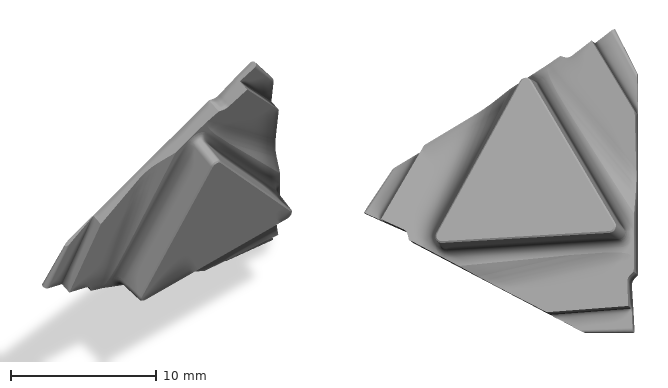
import cadquery as cq
import math


CORNER_ANGLES = (0, 120, 240)
REACH = 30.0

PLATE_HEIGHT = 1.08
BOSS_HEIGHT = 3.5

INSCRIBED_RADIUS = 7.11
NOTCH_START = (INSCRIBED_RADIUS, -6.25)
NOTCH_ROOT = (6.64, -6.68)
NOTCH_ROUND = 0.6
TIP = (6.87, -10.37)
NOSE_ANGLE = math.radians(4.0)

BOSS_FOOT_INRADIUS = 4.03
BOSS_CORNER_RADIUS = 0.48
BOSS_DRAFT = 2.5
BOSS_FOOT_FILLET = 0.45
BOSS_TOP_CHAMFER = 0.1

STEP = (6.75, -8.69)
STEP_Z = STEP[1]
RAMP_HEIGHT = 1.34
RAMP_SLOPES = (0.071, -0.078)
GROOVE_FLOOR = (-3.5, -6.25)
GROOVE_BACK_SLOPES = (-0.02, 0.535)
GROOVE_FLOOR_ROUND = 2.0
CHIP_FORMER_INNER_Z = -4.5

LIP_HEIGHT = 0.46
RELIEF_START = (6.74, -9.14)
RELIEF_ANGLE = math.radians(9.3)
RELIEF_RISE = 0.045
RELIEF_SLOPES = (RELIEF_RISE * math.sin(RELIEF_ANGLE), -RELIEF_RISE * math.cos(RELIEF_ANGLE))
BEAD_OVERRUN = 1.0


def turned(point, angle):
    """The point turned about the X axis by an angle in degrees."""
    a = math.radians(angle)
    y, z = point
    return (y * math.cos(a) - z * math.sin(a), y * math.sin(a) + z * math.cos(a))


def face_height(height, at, slopes, point):
    """Height over a point of the sloping face that has the given height at another point."""
    return height + slopes[0] * (point[0] - at[0]) + slopes[1] * (point[1] - at[1])


def upward_normal(slopes):
    return cq.Vector(1, -slopes[0], -slopes[1])


def under(height, at, slopes):
    """All space below a sloping face."""
    plane = cq.Plane(origin=(height, *at), xDir=(slopes[0], 1, 0), normal=upward_normal(slopes))
    return cq.Workplane(plane).rect(4 * REACH, 4 * REACH).extrude(-2 * REACH)


def zone(z_low, z_high, x_low, x_high):
    box = cq.Workplane("XY").box(x_high - x_low, 2 * REACH, z_high - z_low, centered=(False, True, False))
    return box.translate((x_low, 0, z_low))


def nose_end():
    """The point where the nose edge meets the next long edge."""
    normal_y, normal_z = turned((1, 0), -120)
    along_y = -math.cos(NOSE_ANGLE)
    along_z = math.sin(NOSE_ANGLE)
    tip_gap = INSCRIBED_RADIUS - normal_y * TIP[0] - normal_z * TIP[1]
    length = tip_gap / (normal_y * along_y + normal_z * along_z)
    return (TIP[0] + length * along_y, TIP[1] + length * along_z)


def outline_prism(height):
    corner = [NOTCH_START, NOTCH_ROOT, TIP, nose_end()]
    points = [turned(point, -angle) for angle in CORNER_ANGLES for point in corner]
    prism = cq.Workplane("YZ").polyline(points).close().extrude(height)
    for angle in CORNER_ANGLES:
        root = (height / 2, *turned(NOTCH_ROOT, angle))
        prism = prism.edges(cq.selectors.NearestToPointSelector(root)).fillet(NOTCH_ROUND)
    return prism


def boss():
    top_corner = (0, 2 * BOSS_FOOT_INRADIUS)
    triangle = (
        cq.Workplane("YZ", origin=(PLATE_HEIGHT, 0, 0))
        .polyline([turned(top_corner, angle) for angle in CORNER_ANGLES])
        .close()
        .extrude(BOSS_HEIGHT - PLATE_HEIGHT, taper=BOSS_DRAFT)
    )
    rounded = triangle.edges("not(#X)").fillet(BOSS_CORNER_RADIUS)
    return rounded.faces(">X").chamfer(BOSS_TOP_CHAMFER)


def plate_with_boss():
    body = outline_prism(PLATE_HEIGHT).union(boss())
    plate_top = body.faces(cq.selectors.NearestToPointSelector((PLATE_HEIGHT, 0, 0))).val()
    boss_foot = plate_top.innerWires()[0].Edges()
    return cq.Workplane(body.val().fillet(BOSS_FOOT_FILLET, boss_foot))


def groove_tool():
    floor_height = face_height(RAMP_HEIGHT, STEP, RAMP_SLOPES, GROOVE_FLOOR)
    tool = (
        zone(-REACH, CHIP_FORMER_INNER_Z, -REACH, PLATE_HEIGHT)
        .cut(under(RAMP_HEIGHT, STEP, RAMP_SLOPES))
        .cut(under(floor_height, GROOVE_FLOOR, GROOVE_BACK_SLOPES))
    )
    along_floor = upward_normal(RAMP_SLOPES).cross(upward_normal(GROOVE_BACK_SLOPES))
    return tool.edges(cq.selectors.ParallelDirSelector(along_floor)).fillet(GROOVE_FLOOR_ROUND)


def ramp():
    block = zone(STEP_Z, CHIP_FORMER_INNER_Z, 0, BOSS_HEIGHT)
    return block.intersect(under(RAMP_HEIGHT, STEP, RAMP_SLOPES))


def bead_section(distance):
    """Centre and radius of the round nose edge at a distance along it from the tip."""
    inward = (math.sin(NOSE_ANGLE), math.cos(NOSE_ANGLE))
    edge = (TIP[0] - distance * inward[1], TIP[1] + distance * inward[0])
    edge_top = face_height(LIP_HEIGHT, STEP, RAMP_SLOPES, edge)
    edge_back = face_height(0, RELIEF_START, RELIEF_SLOPES, edge)
    thickening = sum(
        (top - back) * step for top, back, step in zip(RAMP_SLOPES, RELIEF_SLOPES, inward)
    )
    radius = (edge_top - edge_back) / (2 - thickening)
    centre = (edge[0] + radius * inward[0], edge[1] + radius * inward[1])
    back = face_height(0, RELIEF_START, RELIEF_SLOPES, centre)
    return cq.Vector(back + radius, *centre), radius


def lip():
    """Thin nose lip whose round edge tapers away from the tip."""
    nose_length = math.dist(TIP, nose_end())
    start, start_radius = bead_section(-BEAD_OVERRUN)
    end, end_radius = bead_section(nose_length + BEAD_OVERRUN)
    axis = end - start
    bead = cq.Workplane(cq.Solid.makeCone(start_radius, end_radius, axis.Length, start, axis))
    web = (
        cq.Workplane("YZ")
        .polyline([(start.y, start.z), (start.y, STEP_Z), (-BEAD_OVERRUN, STEP_Z), (end.y, end.z)])
        .close()
        .extrude(PLATE_HEIGHT)
        .intersect(under(LIP_HEIGHT, STEP, RAMP_SLOPES))
        .cut(under(0, RELIEF_START, RELIEF_SLOPES))
    )
    return web.union(bead)


def insert():
    body = plate_with_boss()
    groove = groove_tool()
    raised_ramp = ramp()
    beyond_step = zone(-REACH, STEP_Z, -REACH, REACH)
    nose_lip = lip()
    turns = [((0, 0, 0), (1, 0, 0), angle) for angle in CORNER_ANGLES]
    for turn in turns:
        body = body.union(raised_ramp.rotate(*turn))
    for turn in turns:
        body = body.cut(groove.rotate(*turn))
        body = body.cut(beyond_step.rotate(*turn))
    for turn in turns:
        body = body.union(nose_lip.rotate(*turn))
    return body.intersect(outline_prism(BOSS_HEIGHT))


result = insert()